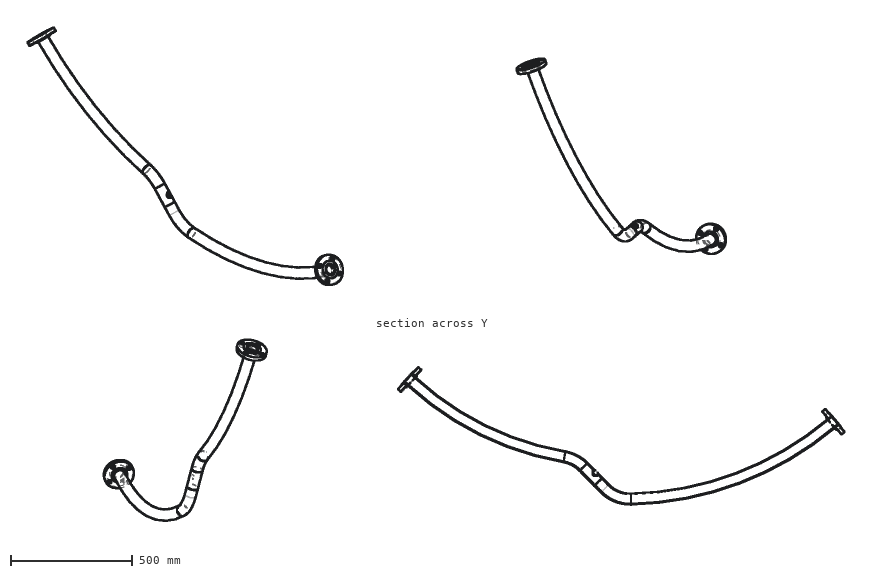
import cadquery as cq
import math


PIPE_OD = 48.0
PIPE_BORE = 39.0

LEFT_RADIUS = 1239.0
RIGHT_RADIUS = 1330.0
ELBOW_RADIUS = 145.0
LEFT_HEADING = -42.7
SHOULDER_HEADING = -9.8
SLOPE_HEADING = -45.5
LOW_HEADING = 1.3
RIGHT_HEADING = 40.0
SLOPE_LENGTH = 87.0
ELBOW_STUB_LENGTH = 39.0

FLANGE_OD = 125.0
RIM_THICKNESS = 17.0
RAISED_FACE_OD = 74.0
RAISED_FACE_HEIGHT = 2.0
HUB_OD = 66.0
FLANGE_LENGTH = 22.0
BOLT_COUNT = 4
BOLT_CIRCLE = 100.0
FIRST_BOLT_ANGLE = 45.0
BOLT_HOLE_DIAMETER = 17.0

WALL_HOLE_DIAMETER = 28.0
WALL_HOLE_POSITION = 52.0
WALL_HOLE_TURN = 32.0


def along(heading):
    """Unit vector of a heading in the XZ plane."""
    angle = math.radians(heading)
    return cq.Vector(math.cos(angle), 0, math.sin(angle))


def upward(heading):
    """Unit vector square to a heading in the XZ plane, on its upper side."""
    return along(heading + 90)


def section(point, heading):
    """Workplane square to the centreline at a point."""
    return cq.Workplane(cq.Plane(origin=point, xDir=upward(heading), normal=along(heading)))


def straight_end(start, heading, length):
    return start + along(heading) * length


def arc_end(start, heading, radius, new_heading):
    """Point where an arc that leaves start along heading has turned to new_heading."""
    signed_radius = math.copysign(radius, new_heading - heading)
    return start + (upward(heading) - upward(new_heading)) * signed_radius


def straight_pipe(start, heading, length):
    return section(start, heading).circle(PIPE_OD / 2).circle(PIPE_BORE / 2).extrude(length)


def bent_pipe(start, heading, radius, new_heading):
    middle = arc_end(start, heading, radius, (heading + new_heading) / 2)
    end = arc_end(start, heading, radius, new_heading)
    path = cq.Workplane(cq.Edge.makeThreePointArc(start, middle, end)).toPending()
    return section(start, heading).circle(PIPE_OD / 2).circle(PIPE_BORE / 2).sweep(path)


def flange(face_centre, inward):
    """Flange with raised face, rim, hub and bolt holes; its axis runs from the face along inward."""
    face = section(face_centre, inward)
    raised_face = face.circle(RAISED_FACE_OD / 2).extrude(RAISED_FACE_HEIGHT)
    rim = face.workplane(offset=RAISED_FACE_HEIGHT).circle(FLANGE_OD / 2).extrude(RIM_THICKNESS)
    hub = face.circle(HUB_OD / 2).extrude(FLANGE_LENGTH)
    bolt_places = face.polarArray(BOLT_CIRCLE / 2, FIRST_BOLT_ANGLE, 360, BOLT_COUNT)
    bolt_holes = bolt_places.circle(BOLT_HOLE_DIAMETER / 2).extrude(FLANGE_LENGTH)
    pipe_socket = face.circle(PIPE_OD / 2).extrude(FLANGE_LENGTH)
    return raised_face.union(rim).union(hub).cut(bolt_holes).cut(pipe_socket)


def wall_hole(pipe_start, heading):
    """Cutter that runs from the pipe axis out through one side of its wall."""
    centre = straight_end(pipe_start, heading, WALL_HOLE_POSITION)
    turn = math.radians(WALL_HOLE_TURN)
    outward = upward(heading) * math.cos(turn) + cq.Vector(0, math.sin(turn), 0)
    plane = cq.Plane(origin=centre, xDir=along(heading), normal=outward)
    return cq.Workplane(plane).circle(WALL_HOLE_DIAMETER / 2).extrude(PIPE_OD)


left_face = cq.Vector(0, 0, 0)
left_bend_start = straight_end(left_face, LEFT_HEADING, FLANGE_LENGTH)
shoulder_start = arc_end(left_bend_start, LEFT_HEADING, LEFT_RADIUS, SHOULDER_HEADING)
slope_start = arc_end(shoulder_start, SHOULDER_HEADING, ELBOW_RADIUS, SLOPE_HEADING)
stub_start = straight_end(slope_start, SLOPE_HEADING, SLOPE_LENGTH)
low_bend_start = straight_end(stub_start, SLOPE_HEADING, ELBOW_STUB_LENGTH)
right_bend_start = arc_end(low_bend_start, SLOPE_HEADING, ELBOW_RADIUS, LOW_HEADING)
right_bend_end = arc_end(right_bend_start, LOW_HEADING, RIGHT_RADIUS, RIGHT_HEADING)
right_face = straight_end(right_bend_end, RIGHT_HEADING, FLANGE_LENGTH)

left_flange = flange(left_face, LEFT_HEADING)
right_flange = flange(right_face, RIGHT_HEADING + 180)

left_socket_end = straight_pipe(left_face, LEFT_HEADING, FLANGE_LENGTH)
left_pipe = bent_pipe(left_bend_start, LEFT_HEADING, LEFT_RADIUS, SHOULDER_HEADING).union(left_socket_end)
right_socket_end = straight_pipe(right_bend_end, RIGHT_HEADING, FLANGE_LENGTH)
right_pipe = bent_pipe(right_bend_start, LOW_HEADING, RIGHT_RADIUS, RIGHT_HEADING).union(right_socket_end)

shoulder_elbow = bent_pipe(shoulder_start, SHOULDER_HEADING, ELBOW_RADIUS, SLOPE_HEADING)
slope_pipe = straight_pipe(slope_start, SLOPE_HEADING, SLOPE_LENGTH).cut(wall_hole(slope_start, SLOPE_HEADING))
elbow_stub = straight_pipe(stub_start, SLOPE_HEADING, ELBOW_STUB_LENGTH)
low_elbow = bent_pipe(low_bend_start, SLOPE_HEADING, ELBOW_RADIUS, LOW_HEADING).union(elbow_stub)

bodies = [left_flange, left_pipe, shoulder_elbow, slope_pipe, low_elbow, right_pipe, right_flange]
result = cq.Compound.makeCompound([body.solids().val() for body in bodies])